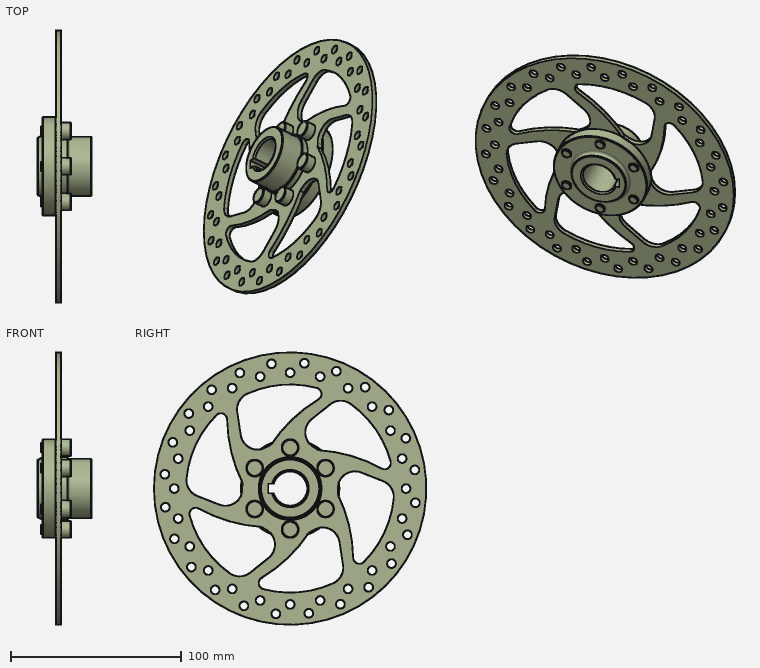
import cadquery as cq
import math

hub_front = -16.0
hub_back = 16.0
flange_front = -13.0
disc_front = -5.0
disc_thickness = 3.0
disc_back = disc_front + disc_thickness
register_end = 2.0
bolt_tip = -14.0

barrel_radius = 17.5
register_radius = 18.5
flange_radius = 29.0
nose_tip_radius = 17.0
nose_base_radius = 18.25
bore_radius = 10.0
bore_chamfer = 1.0
keyway_width = 5.5
keyway_reach = 12.8
edge_chamfer = 0.5
root_fillet = 0.5

disc_radius = 80.0
vent_hole_diameter = 5.0
vent_holes_per_row = 24
inner_row_radius = 68.0
outer_row_radius = 74.0
outer_row_angle = 6.5

window_count = 6
window_outer_radius = 61.0
window_inner_radius = 28.0
straight_side_distance = 23.9
straight_side_tilt = 8.6
swept_side_center = (-61.7, -22.6)
swept_side_radius = 87.5
window_corner_radius = 10.0
window_tip_radius = 3.6

bolt_count = 6
bolt_circle_radius = 24.0
bolt_radius = 3.0
bolt_head_radius = 5.0
bolt_head_height = 6.0
bolt_head_chamfer = 0.5
bolt_tip_taper_length = 0.9
bolt_tip_taper_depth = 0.5


def face_plane(x):
    """Plane facing -X, with -Y to its right and +Z up."""
    return cq.Plane(origin=(x, 0, 0), xDir=(0, -1, 0), normal=(-1, 0, 0))


def cylinder(x_start, x_end, radius):
    """Cylinder along X, centred on the axis of rotation."""
    return cq.Workplane(face_plane(x_end)).circle(radius).extrude(x_end - x_start)


def bolt_holes(x_start, x_end):
    """Cutting cylinders for the ring of bolt holes."""
    return (
        cq.Workplane(face_plane(x_end))
        .polarArray(bolt_circle_radius, 90, 360, bolt_count)
        .circle(bolt_radius)
        .extrude(x_end - x_start)
    )


def make_hub():
    """Hub turned around X, with a keyed bore and a bolt flange."""
    taper_start = hub_front + edge_chamfer
    taper = math.atan2(nose_base_radius - nose_tip_radius, flange_front - taper_start)
    tangent_length = root_fillet * math.tan((math.pi / 2 - taper) / 2)
    fillet_on_nose = (
        flange_front - tangent_length * math.cos(taper),
        nose_base_radius - tangent_length * math.sin(taper),
    )
    fillet_on_flange = (flange_front, nose_base_radius + tangent_length)

    profile = (
        cq.Workplane("XY")
        .moveTo(hub_front + bore_chamfer, bore_radius)
        .lineTo(hub_front, bore_radius + bore_chamfer)
        .lineTo(hub_front, nose_tip_radius - edge_chamfer)
        .lineTo(taper_start, nose_tip_radius)
        .lineTo(*fillet_on_nose)
        .radiusArc(fillet_on_flange, -root_fillet)
        .lineTo(flange_front, flange_radius - edge_chamfer)
        .lineTo(flange_front + edge_chamfer, flange_radius)
        .lineTo(disc_front - edge_chamfer, flange_radius)
        .lineTo(disc_front, flange_radius - edge_chamfer)
        .lineTo(disc_front, register_radius)
        .lineTo(register_end - edge_chamfer, register_radius)
        .lineTo(register_end, register_radius - edge_chamfer)
        .radiusArc((register_end + root_fillet, barrel_radius), -root_fillet)
        .lineTo(hub_back - edge_chamfer, barrel_radius)
        .lineTo(hub_back, barrel_radius - edge_chamfer)
        .lineTo(hub_back, bore_radius + bore_chamfer)
        .lineTo(hub_back - bore_chamfer, bore_radius)
        .close()
    )
    body = profile.revolve(360, (0, 0, 0), (1, 0, 0))
    keyway = (
        cq.Workplane(face_plane(hub_back))
        .center(keyway_reach / 2, 0)
        .rect(keyway_reach, keyway_width)
        .extrude(hub_back - hub_front)
    )
    return body.cut(keyway).cut(bolt_holes(flange_front, disc_front))


def make_window():
    """One window: a ring piece between a straight side and a swept, circular side."""
    ring = cylinder(disc_front, disc_back, window_outer_radius)
    ring = ring.cut(cylinder(disc_front, disc_back, window_inner_radius))
    swept_side = (
        cq.Workplane(face_plane(disc_back))
        .center(*swept_side_center)
        .circle(swept_side_radius)
        .extrude(disc_thickness)
    )
    side_size = 2 * window_outer_radius
    beyond_straight_side = (
        cq.Workplane(face_plane(disc_back))
        .transformed(rotate=(0, 0, -straight_side_tilt))
        .center(straight_side_distance + side_size / 2, 0)
        .rect(side_size, 2 * side_size)
        .extrude(disc_thickness)
    )
    window = ring.cut(swept_side).cut(beyond_straight_side)
    window = window.edges("|X").edges(">Y").fillet(window_tip_radius)
    window = window.edges("|X").edges("<Y").fillet(window_corner_radius)
    return window.edges("|X").edges("<Z").fillet(window_corner_radius)


def vent_row(row_radius, first_angle):
    """Cutting cylinders for one row of vent holes."""
    return (
        cq.Workplane(face_plane(disc_back))
        .polarArray(row_radius, first_angle, 360, vent_holes_per_row)
        .circle(vent_hole_diameter / 2)
        .extrude(disc_thickness)
    )


def make_disc():
    """Vented brake disc seated on the hub register, against the flange."""
    disc = cylinder(disc_front, disc_back, disc_radius)
    disc = disc.cut(cylinder(disc_front, disc_back, register_radius))
    disc = disc.cut(bolt_holes(disc_front, disc_back))
    disc = disc.cut(vent_row(inner_row_radius, 0))
    disc = disc.cut(vent_row(outer_row_radius, outer_row_angle))
    window = make_window()
    for i in range(window_count):
        angle = i * 360 / window_count
        disc = disc.cut(window.rotate((0, 0, 0), (1, 0, 0), angle))
    return disc


def make_bolt(angle):
    """Cylinder-head bolt, its head against the back of the disc."""
    shank = cylinder(bolt_tip, disc_back, bolt_radius)
    shank = shank.faces("<X").chamfer(bolt_tip_taper_length, bolt_tip_taper_depth)
    head = cylinder(disc_back, disc_back + bolt_head_height, bolt_head_radius)
    head = head.faces(">X").chamfer(bolt_head_chamfer)
    y = bolt_circle_radius * math.sin(math.radians(angle))
    z = bolt_circle_radius * math.cos(math.radians(angle))
    return shank.union(head).translate((0, y, z))


hub = make_hub()
disc = make_disc()
bolts = [make_bolt(i * 360 / bolt_count) for i in range(bolt_count)]

result = cq.Compound.makeCompound([hub.val(), disc.val(), *[bolt.val() for bolt in bolts]])